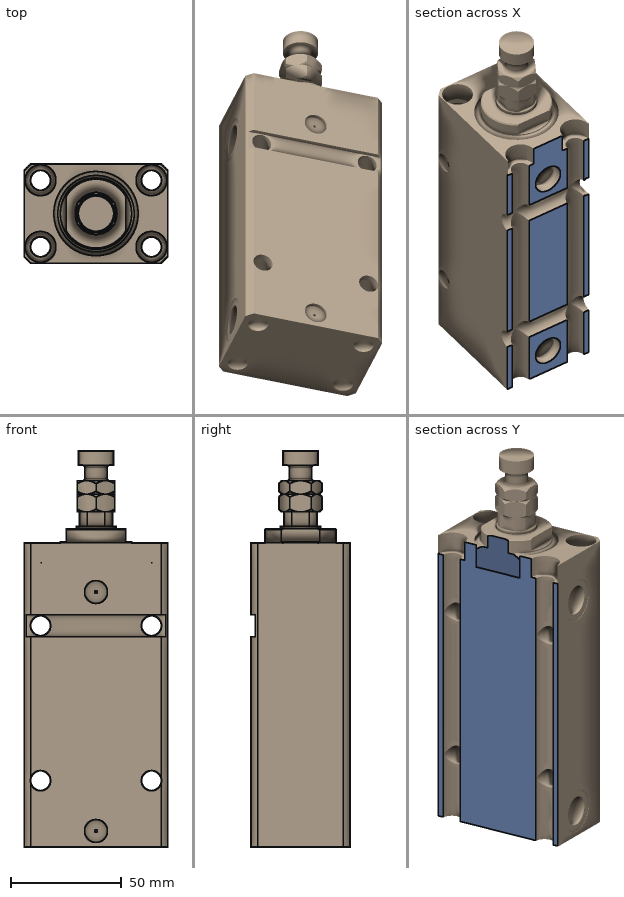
import cadquery as cq
import math

WIDTH_X = 65.0
DEPTH_Y = 45.0
HOUSING_TOP = 137.5
EDGE_CHAMFER = 3.0

SCREW_HOLE_DIA = 9.0
SCREW_X = 25.0
SCREW_Y = 15.0
COUNTERBORE_DIA = 14.0
COUNTERBORE_DEPTH = 9.0
CROSS_HOLE_LOW_Z = 30.0
CROSS_HOLE_HIGH_Z = 100.0

SLOT_HEIGHT = 9.8
SLOT_DEPTH = 2.0

UPPER_PORT_Z = 115.3
SIDE_PORT_LOW_Z = 12.2
SIDE_PORT_DIA = 13.5
SIDE_PORT_DEPTH = 12.5
SPOTFACE_DIA = 20.0
SPOTFACE_DEPTH = 0.2
FRONT_PORT_LOW_Z = 7.3
FRONT_PORT_DIA = 10.4
FRONT_PORT_DEPTH = 1.8
PASSAGE_DIA = 1.3
PASSAGE_DEPTH = 1.8

GLAND_DIA = 32.2
GLAND_TOP = 144.0
GLAND_FLATS = 27.0
GLAND_FLATS_BOTTOM = 138.0
GLAND_CHAMFER = 0.5
PLUG_DIA = 38.1
PLUG_LENGTH = 10.7
PLUG_CHAMFER = 1.8
ROD_MOUTH_DIA = 19.0
ROD_MOUTH_DEPTH = 1.8

ROD_DIA = 18.0
ROD_SHOULDER = 145.0
ROD_NECK_DIA = 17.0
ROD_NECK_FLATS = 15.0
ROD_TOP = 151.5

HEX_FLATS = 17.0
NUT_TOP = 159.5
SCREW_HEX_TOP = 165.5
SHANK_DIA = 10.2
SHANK_FILLET = 1.0
HEAD_BOTTOM = 172.5
HEAD_DIA = 16.0
SCREW_TOP = 179.0

PLUG_BOTTOM = HOUSING_TOP - PLUG_LENGTH


def cylinder(diameter, bottom, top):
    """Upright cylinder on the Z axis."""
    return cq.Workplane("XY").workplane(offset=bottom).circle(diameter / 2).extrude(top - bottom)


def bore_from_left(diameter, z, depth):
    """Cylinder entering the -X face towards +X."""
    face = cq.Workplane("YZ", origin=(-WIDTH_X / 2, 0, z))
    return face.circle(diameter / 2).extrude(depth)


def bore_from_front(diameter, x, z, depth):
    """Cylinder entering the -Y face towards +Y."""
    face = cq.Workplane("XZ", origin=(x, -DEPTH_Y / 2, z))
    return face.circle(diameter / 2).extrude(-depth)


def make_housing():
    body = cq.Workplane("XY").box(WIDTH_X, DEPTH_Y, HOUSING_TOP, centered=(True, True, False))
    body = body.edges("|Z").chamfer(EDGE_CHAMFER)

    body = (
        body.faces(">Z").workplane(origin=(0, 0, HOUSING_TOP))
        .rect(2 * SCREW_X, 2 * SCREW_Y, forConstruction=True).vertices()
        .cboreHole(SCREW_HOLE_DIA, COUNTERBORE_DIA, COUNTERBORE_DEPTH)
    )

    for x in (-SCREW_X, SCREW_X):
        for z in (CROSS_HOLE_LOW_Z, CROSS_HOLE_HIGH_Z):
            body = body.cut(bore_from_front(SCREW_HOLE_DIA, x, z, DEPTH_Y))

    slot = cq.Workplane("XY").box(WIDTH_X, 2 * SLOT_DEPTH, SLOT_HEIGHT)
    body = body.cut(slot.translate((0, -DEPTH_Y / 2, CROSS_HOLE_HIGH_Z)))

    for z in (SIDE_PORT_LOW_Z, UPPER_PORT_Z):
        body = body.cut(bore_from_left(SPOTFACE_DIA, z, SPOTFACE_DEPTH))
        body = body.cut(bore_from_left(SIDE_PORT_DIA, z, SIDE_PORT_DEPTH))
        body = body.cut(bore_from_left(PASSAGE_DIA, z, SIDE_PORT_DEPTH + PASSAGE_DEPTH))

    for z in (FRONT_PORT_LOW_Z, UPPER_PORT_Z):
        body = body.cut(bore_from_front(FRONT_PORT_DIA, 0, z, FRONT_PORT_DEPTH))
        body = body.cut(bore_from_front(PASSAGE_DIA, 0, z, FRONT_PORT_DEPTH + PASSAGE_DEPTH))

    return body.cut(cylinder(PLUG_DIA, PLUG_BOTTOM, HOUSING_TOP))


def make_gland():
    plug = cylinder(PLUG_DIA, PLUG_BOTTOM, HOUSING_TOP).faces(">Z").chamfer(PLUG_CHAMFER)
    collar = cylinder(GLAND_DIA, HOUSING_TOP, GLAND_TOP).faces(">Z").chamfer(GLAND_CHAMFER)

    for side in (-1, 1):
        flat_cutter = cq.Workplane("XY").box(
            GLAND_DIA, GLAND_DIA, GLAND_TOP - GLAND_FLATS_BOTTOM, centered=(True, True, False)
        )
        flat_x = side * (GLAND_FLATS + GLAND_DIA) / 2
        collar = collar.cut(flat_cutter.translate((flat_x, 0, GLAND_FLATS_BOTTOM)))

    gland = plug.union(collar).cut(cylinder(ROD_DIA, PLUG_BOTTOM, GLAND_TOP))
    return gland.cut(cylinder(ROD_MOUTH_DIA, GLAND_TOP - ROD_MOUTH_DEPTH, GLAND_TOP))


def make_rod():
    neck_length = ROD_TOP - ROD_SHOULDER
    square = cq.Workplane("XY").box(ROD_NECK_FLATS, ROD_NECK_FLATS, neck_length, centered=(True, True, False))
    neck = cylinder(ROD_NECK_DIA, ROD_SHOULDER, ROD_TOP).intersect(square.translate((0, 0, ROD_SHOULDER)))
    return cylinder(ROD_DIA, PLUG_BOTTOM, ROD_SHOULDER).union(neck)


def make_hexagon(bottom, top):
    """Hexagonal prism with corners on the Y axis and both ends coned off at the corners."""
    corner_dia = HEX_FLATS / math.cos(math.pi / 6)
    corner_inset = (corner_dia - HEX_FLATS) / 2
    prism = cq.Workplane("XY").workplane(offset=bottom).polygon(6, corner_dia).extrude(top - bottom)
    prism = prism.rotate((0, 0, 0), (0, 0, 1), 90)
    cone = cylinder(corner_dia, bottom, top).faces("<Z or >Z").chamfer(corner_inset)
    return prism.intersect(cone)


def make_clamping_screw():
    shank = cylinder(SHANK_DIA, SCREW_HEX_TOP, HEAD_BOTTOM)
    screw = make_hexagon(ROD_TOP, NUT_TOP).union(make_hexagon(NUT_TOP, SCREW_HEX_TOP)).union(shank)
    screw = screw.union(cylinder(HEAD_DIA, HEAD_BOTTOM, SCREW_TOP))
    shank_ends = cq.selectors.RadiusNthSelector(0)
    return screw.edges("%CIRCLE").edges(shank_ends).fillet(SHANK_FILLET)


housing = make_housing()
gland = make_gland()
rod = make_rod()
clamping_screw = make_clamping_screw()

result = cq.Compound.makeCompound([housing.val(), gland.val(), rod.val(), clamping_screw.val()])